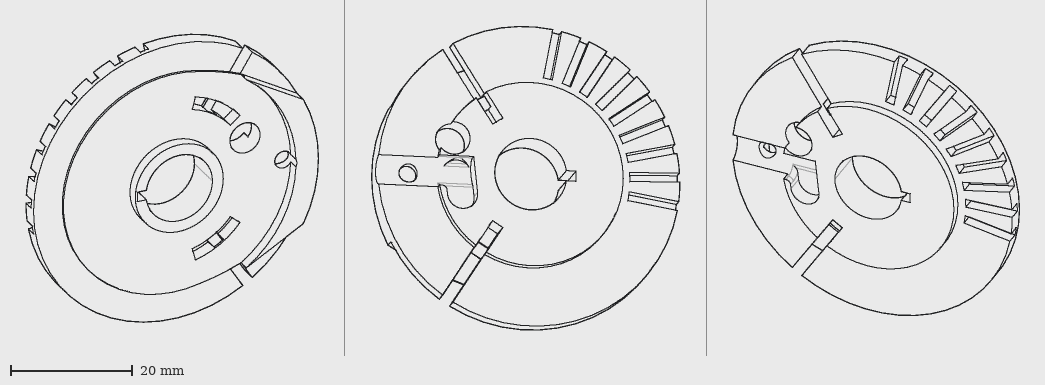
import cadquery as cq
import math

disc_front = 1.55
disc_back = 4.5
step_back = 4.95
total_depth = 7.0

disc_radius = 25.3
cutter_reach = disc_radius + 1.0
front_hub_radius = 15.5
step_radius = 20.1
back_hub_radius = 8.0

rim_inner_radius = 21.2
rim_inner_half_height = 17.35
rim_outer_half_height = 11.45
blend_start_y = 4.55
blend_bulge = 0.2

bore_radius = 6.05
keyway_tip = 7.6
keyway_width = 1.7

strap_angle = 57.5
strap_width = 2.05
strap_inner_radius = 10.35

cavity_inner_radius = 13.25
cavity_outer_radius = 15.55
cavity_floor = 2.4
cavity_half_span = 18.0

fan_count = 9
fan_first_angle = -8.8
fan_pitch = 11.0
fan_width = 1.5
fan_depth = 2.05
fan_inner_radius = 16.9

groove_radius = 2.55
groove_axis_x = 1.05
pocket_radius = 2.55
pocket_floor = 3.0
pocket_top = (11.85, 0.0)
pocket_bottom = (11.45, -3.8)
pocket_edge_fillet = 0.85

through_holes = [(19.85, 0.0, 1.5), (12.9, 5.5, 2.75)]


def plane_at(x):
    """YZ plane at station x: local axes are Y and Z, extrusion goes along +X."""
    return cq.Workplane("YZ", origin=(x, 0, 0))


def cylinder(radius, x_start, x_end):
    return plane_at(x_start).circle(radius).extrude(x_end - x_start)


def radial_bar(start, end, width, x_start, x_end, angle):
    """Straight bar along a radius, turned by angle from +Y towards +Z."""
    bar = plane_at(x_start).center((start + end) / 2, 0).rect(end - start, width).extrude(x_end - x_start)
    return bar.rotate((0, 0, 0), (1, 0, 0), angle)


def height_on_circle(radius, y):
    return math.sqrt(radius**2 - y**2)


rim_inner_y = height_on_circle(rim_inner_radius, rim_inner_half_height)
rim_outer_y = height_on_circle(disc_radius, rim_outer_half_height)


def rim_segment():
    return (
        plane_at(disc_back)
        .moveTo(rim_inner_y, rim_inner_half_height)
        .threePointArc((rim_inner_radius, 0), (rim_inner_y, -rim_inner_half_height))
        .lineTo(rim_outer_y, -rim_outer_half_height)
        .threePointArc((disc_radius, 0), (rim_outer_y, rim_outer_half_height))
        .close()
        .extrude(total_depth - disc_back)
    )


def back_step():
    """Thin plate: round on the -Y side, flowing into the rim segment on the +Y side."""
    blend_start_z = height_on_circle(step_radius, blend_start_y)
    run = rim_inner_y - blend_start_y
    drop = blend_start_z - rim_inner_half_height
    chord = math.hypot(run, drop)
    mid_y = (blend_start_y + rim_inner_y) / 2 + blend_bulge * drop / chord
    mid_z = (blend_start_z + rim_inner_half_height) / 2 + blend_bulge * run / chord
    return (
        plane_at(disc_back)
        .moveTo(blend_start_y, blend_start_z)
        .threePointArc((mid_y, mid_z), (rim_inner_y, rim_inner_half_height))
        .threePointArc((rim_inner_radius, 0), (rim_inner_y, -rim_inner_half_height))
        .threePointArc((mid_y, -mid_z), (blend_start_y, -blend_start_z))
        .threePointArc((-step_radius, 0), (blend_start_y, blend_start_z))
        .close()
        .extrude(step_back - disc_back)
    )


def back_cavity(angle):
    """Arc-shaped cavity sunk from the back, crossing a strap slot and opening a window in it."""
    ring = cylinder(cavity_outer_radius, cavity_floor, step_back).cut(
        cylinder(cavity_inner_radius, cavity_floor, step_back)
    )
    half_width = disc_radius * math.tan(math.radians(cavity_half_span))
    wedge = (
        plane_at(cavity_floor)
        .polyline([(0, 0), (disc_radius, -half_width), (disc_radius, half_width)])
        .close()
        .extrude(step_back - cavity_floor)
    )
    return ring.intersect(wedge.rotate((0, 0, 0), (1, 0, 0), angle))


pocket_run = (pocket_bottom[0] - pocket_top[0], pocket_bottom[1] - pocket_top[1])
pocket_spacing = math.hypot(*pocket_run)


def pocket_inner_wall_y(z):
    """Y of the straight pocket wall nearest the bore, extended to height z."""
    wall_at_zero = pocket_top[0] + pocket_radius * pocket_run[1] / pocket_spacing
    wall_height = pocket_top[1] - pocket_radius * pocket_run[0] / pocket_spacing
    return wall_at_zero + (z - wall_height) * pocket_run[0] / pocket_run[1]


def side_groove():
    """U-shaped channel, open at the rim and ending in line with the pocket's inner wall."""
    footprint = [
        (disc_radius, groove_radius),
        (pocket_inner_wall_y(groove_radius), groove_radius),
        (pocket_inner_wall_y(-groove_radius), -groove_radius),
        (disc_radius, -groove_radius),
    ]
    groove_depth = groove_axis_x + groove_radius
    envelope = plane_at(0).polyline(footprint).close().extrude(groove_depth)
    profile = (
        cq.Workplane("XZ", origin=(0, disc_radius, 0))
        .moveTo(0, groove_radius)
        .lineTo(groove_axis_x, groove_radius)
        .threePointArc((groove_depth, 0), (groove_axis_x, -groove_radius))
        .lineTo(0, -groove_radius)
        .close()
    )
    return profile.extrude(disc_radius).intersect(envelope)


def pocket():
    return (
        plane_at(0)
        .center((pocket_top[0] + pocket_bottom[0]) / 2, (pocket_top[1] + pocket_bottom[1]) / 2)
        .slot2D(
            pocket_spacing + 2 * pocket_radius,
            2 * pocket_radius,
            math.degrees(math.atan2(pocket_run[1], pocket_run[0])),
        )
        .extrude(pocket_floor)
    )


body = (
    cylinder(front_hub_radius, 0, disc_front)
    .union(cylinder(disc_radius, disc_front, disc_back))
    .union(back_step())
    .union(rim_segment())
    .union(cylinder(back_hub_radius, disc_back, total_depth))
)

body = body.cut(side_groove()).cut(pocket())

margin = 0.05
pocket_outer_y = pocket_top[0] + pocket_radius
floor_edge_zone = cq.selectors.BoxSelector(
    (pocket_floor - margin, pocket_top[0] - pocket_radius, -groove_radius),
    (pocket_floor + margin, pocket_outer_y, groove_radius),
)
outer_corner_zone = cq.selectors.BoxSelector(
    (0, pocket_outer_y - 0.5, -groove_radius - margin),
    (pocket_floor - margin, pocket_outer_y, -groove_radius / 2),
)
floor_edges = body.edges(floor_edge_zone).edges("|Y")
outer_corner_edges = body.edges(outer_corner_zone).edges("not |Y")
body = floor_edges.add(outer_corner_edges).fillet(pocket_edge_fillet)

body = body.cut(cylinder(bore_radius, 0, total_depth))
body = body.cut(radial_bar(0, keyway_tip, keyway_width, 0, total_depth, 180))

for y, z, radius in through_holes:
    body = body.cut(plane_at(0).center(y, z).circle(radius).extrude(total_depth))

for angle in (strap_angle, -strap_angle):
    body = body.cut(radial_bar(strap_inner_radius, cutter_reach, strap_width, 0, disc_back, angle))
    body = body.cut(back_cavity(angle))

for index in range(fan_count):
    angle = 180 - (fan_first_angle + index * fan_pitch)
    fan_floor = disc_front + fan_depth
    body = body.cut(radial_bar(fan_inner_radius, cutter_reach, fan_width, disc_front, fan_floor, angle))

result = body